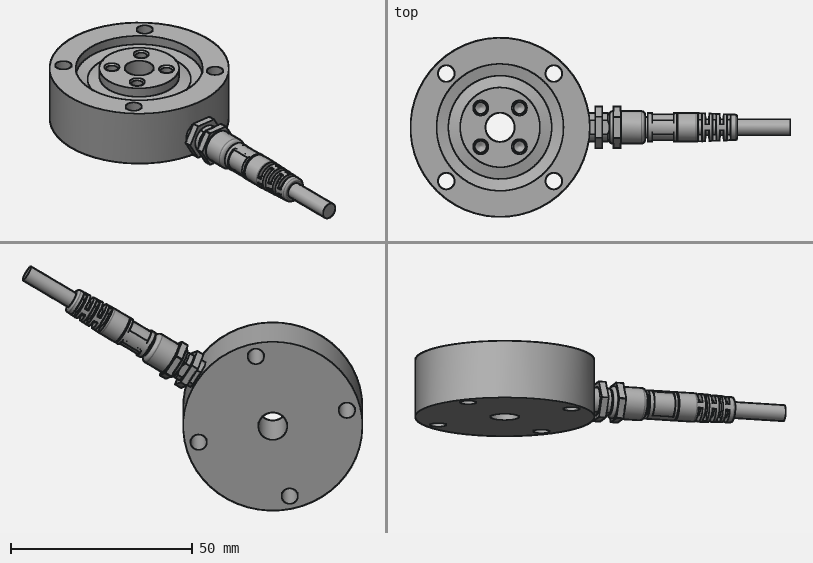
import cadquery as cq
import math

BODY_D = 49.5
BODY_H = 16.0
CENTER_BORE_D = 8.0
RIM_HOLE_D = 4.5
RIM_HOLE_CIRCLE_D = 42.0
GROOVE_OUTER_D = 35.0
GROOVE_INNER_D = 22.0
GROOVE_WALL_DEPTH = 2.7
GROOVE_VALLEY_DEPTH = 3.6
BOSS_HOLE_CIRCLE_D = 15.1
BOSS_HOLE_D = 3.3
BOSS_HOLE_MOUTH_D = 4.2
BOSS_HOLE_DEPTH = 8.0
DRILL_POINT_ANGLE = 118.0

AXIS_DROP = 2.0
AXIS_Z = BODY_H / 2 - AXIS_DROP
THREAD_D = 8.0
THREAD_FLATS = 6.9
THREAD_CHAMFER = 0.5
THREAD_ENGAGEMENT = 2.1

NUT_X = 26.2
COLLAR_X = 30.2
SOCKET_HEX_X = 31.3
SLEEVE_X = 33.5
SLEEVE_END_X = 40.1
SHELL_X = 40.7
GRIP_X = 42.0
GRIP_END_X = 47.9
SHELL_END_X = 49.1
TAPER_X = 54.0
FIRST_SLOT_X = 55.2
BOOT_END_X = 65.4
OVERALL_LENGTH = 104.9
CABLE_END_X = OVERALL_LENGTH - BODY_D / 2

HEX_FLATS = 10.1
HEX_THICKNESS = 2.0
HEX_CORNER_D = 11.5
SLEEVE_D = 9.0
COLLAR_FILLET = 0.8
SLEEVE_FILLET = 1.2

SPIGOT_D = 5.8
PLUG_D = 8.0
GRIP_D = 7.2
GRIP_HEIGHT = THREAD_FLATS
JOINT_GROOVE_WIDTH = 0.3
JOINT_GROOVE_DEPTH = 0.1

BOOT_END_D = 7.0
BOOT_END_FILLET = 0.6
SLOT_COUNT = 5
SLOT_MOUTH_WIDTH = 1.2
SLOT_FLOOR_WIDTH = 0.8
SLOT_PITCH = 2.0
WEB_WIDTH = 1.6
CABLE_D = 4.5


def section_plane(x):
    """Plane across the connector axis at x: local x is +Y, local y is +Z, normal is +X."""
    return cq.Workplane("YZ", origin=(x, 0, AXIS_Z))


def rod(x_start, x_end, diameter):
    return section_plane(x_start).circle(diameter / 2).extrude(x_end - x_start)


def bar(x_start, x_end, width_y, height_z):
    return section_plane(x_start).rect(width_y, height_z).extrude(x_end - x_start)


def hexagon(x_start):
    """Hexagonal prism with flats facing up and down."""
    across_corners = HEX_FLATS / math.cos(math.pi / 6)
    return section_plane(x_start).polygon(6, across_corners).extrude(HEX_THICKNESS)


def thread():
    """Threaded stem with a flat on top and a flat underneath."""
    start = BODY_D / 2 - THREAD_ENGAGEMENT
    stem = rod(start, COLLAR_X, THREAD_D).faces(">X").chamfer(THREAD_CHAMFER)
    return stem.intersect(bar(start, COLLAR_X, THREAD_D, THREAD_FLATS))


def four_around(circle_d):
    """Centres of four holes on a circle, midway between the X and Y axes."""
    step = circle_d / 2 * math.cos(math.pi / 4)
    return [(sx * step, sy * step) for sx in (-1, 1) for sy in (-1, 1)]


def groove_cutter():
    """Ring groove with upright walls and a shallow V floor."""
    outer_r = GROOVE_OUTER_D / 2
    inner_r = GROOVE_INNER_D / 2
    wall_foot = BODY_H - GROOVE_WALL_DEPTH
    return (
        cq.Workplane("XZ")
        .moveTo(inner_r, BODY_H)
        .lineTo(inner_r, wall_foot)
        .lineTo((inner_r + outer_r) / 2, BODY_H - GROOVE_VALLEY_DEPTH)
        .lineTo(outer_r, wall_foot)
        .lineTo(outer_r, BODY_H)
        .close()
        .revolve(360, (0, 0, 0), (0, 1, 0))
    )


def boss_hole_cutter():
    """Blind hole on the Z axis with a 45 degree mouth and a drill-point bottom."""
    hole_r = BOSS_HOLE_D / 2
    mouth_r = BOSS_HOLE_MOUTH_D / 2
    floor_z = BODY_H - BOSS_HOLE_DEPTH
    point_h = hole_r / math.tan(math.radians(DRILL_POINT_ANGLE / 2))
    return (
        cq.Workplane("XZ")
        .moveTo(0, BODY_H)
        .lineTo(mouth_r, BODY_H)
        .lineTo(hole_r, BODY_H - (mouth_r - hole_r))
        .lineTo(hole_r, floor_z)
        .lineTo(0, floor_z - point_h)
        .close()
        .revolve(360, (0, 0, 0), (0, 1, 0))
    )


def make_load_cell():
    body = cq.Workplane("XY").circle(BODY_D / 2).extrude(BODY_H)
    body = body.cut(groove_cutter())
    body = body.cut(cq.Workplane("XY").circle(CENTER_BORE_D / 2).extrude(BODY_H))
    rim_holes = cq.Workplane("XY").pushPoints(four_around(RIM_HOLE_CIRCLE_D)).circle(RIM_HOLE_D / 2)
    body = body.cut(rim_holes.extrude(BODY_H))
    for x, y in four_around(BOSS_HOLE_CIRCLE_D):
        body = body.cut(boss_hole_cutter().translate((x, y, 0)))
    return body.cut(thread())


def make_lock_nut():
    return hexagon(NUT_X).cut(rod(NUT_X, NUT_X + HEX_THICKNESS, THREAD_D))


def make_socket():
    """Threaded stem, rounded collar and trimmed hexagon in one piece."""
    collar = rod(COLLAR_X, SLEEVE_X, SLEEVE_D).faces("<X").edges().fillet(COLLAR_FILLET)
    trim = rod(SOCKET_HEX_X, SOCKET_HEX_X + HEX_THICKNESS, HEX_CORNER_D)
    trimmed_hexagon = hexagon(SOCKET_HEX_X).intersect(trim)
    return thread().union(collar).union(trimmed_hexagon)


def make_sleeve():
    return rod(SLEEVE_X, SLEEVE_END_X, SLEEVE_D).faces(">X").edges().fillet(SLEEVE_FILLET)


def make_plug_shell():
    """Plug shell with a short spigot, a lowered grip on both sides and a groove at the boot joint."""
    shell = rod(SHELL_X, SHELL_END_X, PLUG_D)
    grip = rod(GRIP_X, GRIP_END_X, PLUG_D).cut(rod(GRIP_X, GRIP_END_X, GRIP_D))
    grip = grip.intersect(bar(GRIP_X, GRIP_END_X, PLUG_D, GRIP_HEIGHT))
    groove_x = SHELL_END_X - JOINT_GROOVE_WIDTH
    groove = rod(groove_x, SHELL_END_X, PLUG_D)
    groove = groove.cut(rod(groove_x, SHELL_END_X, PLUG_D - 2 * JOINT_GROOVE_DEPTH))
    return shell.cut(grip).cut(groove).union(rod(SLEEVE_END_X, SHELL_X, SPIGOT_D))


def slot_ring(x_middle):
    """Ring around the connector axis that narrows from the mouth of a slot to its floor."""
    mouth_r = PLUG_D / 2
    floor_r = CABLE_D / 2
    half_mouth = SLOT_MOUTH_WIDTH / 2
    half_floor = SLOT_FLOOR_WIDTH / 2
    return (
        cq.Workplane("XZ", origin=(x_middle, 0, AXIS_Z))
        .moveTo(-half_floor, floor_r)
        .lineTo(-half_mouth, mouth_r)
        .lineTo(half_mouth, mouth_r)
        .lineTo(half_floor, floor_r)
        .close()
        .revolve(360, (0, 0, 0), (1, 0, 0))
    )


def make_boot():
    """Tapered strain relief whose slots leave two webs, turned a quarter from slot to slot."""
    taper = (
        section_plane(TAPER_X)
        .circle(PLUG_D / 2)
        .workplane(offset=BOOT_END_X - TAPER_X)
        .circle(BOOT_END_D / 2)
        .loft(ruled=True)
    )
    taper = taper.faces(">X").edges().fillet(BOOT_END_FILLET)
    boot = rod(SHELL_END_X, TAPER_X, PLUG_D).union(taper)
    for index in range(SLOT_COUNT):
        middle = FIRST_SLOT_X + index * SLOT_PITCH
        start = middle - SLOT_MOUTH_WIDTH / 2
        end = middle + SLOT_MOUTH_WIDTH / 2
        if index % 2 == 0:
            web = bar(start, end, PLUG_D, WEB_WIDTH)
        else:
            web = bar(start, end, WEB_WIDTH, PLUG_D)
        boot = boot.cut(slot_ring(middle).cut(web))
    return boot


def make_cable():
    return rod(BOOT_END_X, CABLE_END_X, CABLE_D)


load_cell = make_load_cell()
lock_nut = make_lock_nut()
socket = make_socket()
sleeve = make_sleeve()
plug_shell = make_plug_shell()
cable = make_cable()
boot = make_boot()

result = cq.Compound.makeCompound([
    load_cell.val(),
    lock_nut.val(),
    socket.val(),
    sleeve.val(),
    plug_shell.val(),
    boot.val(),
    cable.val(),
])